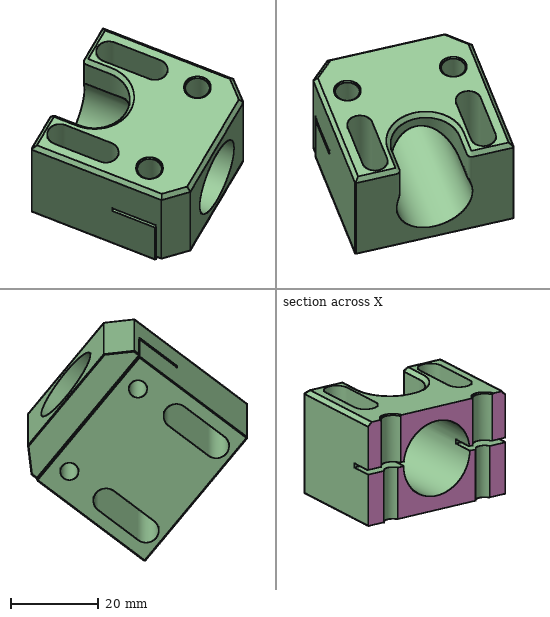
import cadquery as cq
import math

length = 38.15
width = 38.1
height = 25.4
half_width = width / 2
top_chamfer = 1.0
edge_break = 0.2

base_length = 31.7
cap_start = 20.65
cap_bottom = 1.3
corner_cut = 4.95
gap_height = 1.03
gap_floor = height / 2

bore_diameter = 18.2
opening_radius = bore_diameter / 2 - top_chamfer
opening_center_x = 7.0
entry_radius = top_chamfer + 0.05

slot_length = 17.55
slot_width = 5.88
slot_start = 1.5
slot_offset_y = 13.0

screw_x = 27.1
screw_offset_y = 12.7
clearance_diameter = 5.6
screw_diameter = 4.2
screw_chamfer = 0.3


def make_base():
    base = cq.Workplane("XY").box(base_length, width, height, centered=(False, True, False))
    return base.edges("|Z").chamfer(edge_break).faces("<Z").edges().chamfer(edge_break)


def make_outline(start_x, bottom):
    """Prism with two cut corners at the far end, reaching from start_x and bottom to the far top."""
    return (
        cq.Workplane("XY", origin=(0, 0, bottom))
        .moveTo(start_x, -half_width)
        .lineTo(length - corner_cut, -half_width)
        .lineTo(length, -half_width + corner_cut)
        .lineTo(length, half_width - corner_cut)
        .lineTo(length - corner_cut, half_width)
        .lineTo(start_x, half_width)
        .close()
        .extrude(height - bottom)
    )


def make_cap():
    cap = make_outline(cap_start, cap_bottom)
    below_gap = cq.Workplane("XY").box(base_length, width, gap_floor, centered=(False, True, False))
    return cap.faces("<Z").edges("not <X").chamfer(edge_break).cut(below_gap)


def make_opening():
    """U-shaped cutter whose mouth flares out tangent to the entry face."""
    mouth = opening_radius + entry_radius
    blend = entry_radius * (1 - math.sqrt(0.5))
    return (
        cq.Workplane("XY", origin=(0, 0, height / 2))
        .moveTo(0, -mouth)
        .threePointArc((blend, -opening_radius - blend), (entry_radius, -opening_radius))
        .lineTo(opening_center_x, -opening_radius)
        .threePointArc((opening_center_x + opening_radius, 0), (opening_center_x, opening_radius))
        .lineTo(entry_radius, opening_radius)
        .threePointArc((blend, opening_radius + blend), (0, mouth))
        .close()
        .extrude(height / 2)
    )


def cut_gap(part):
    gap = cq.Workplane("XY", origin=(cap_start, 0, gap_floor)).box(
        base_length - cap_start, width, gap_height, centered=(False, True, False)
    )
    return part.cut(gap)


def cut_bore(part):
    bore = cq.Workplane("YZ", origin=(0, 0, height / 2)).circle(bore_diameter / 2).extrude(length)
    return part.cut(bore)


def cut_slots(part):
    slots = (
        cq.Workplane("XY")
        .pushPoints([(slot_start + slot_length / 2, side * slot_offset_y) for side in (-1, 1)])
        .slot2D(slot_length, slot_width)
        .extrude(height)
    )
    return part.cut(slots)


def cut_screw_holes(part):
    """Clearance holes down to the gap, smaller holes on through the base."""
    centers = [(screw_x, side * screw_offset_y) for side in (-1, 1)]
    clearance = (
        cq.Workplane("XY", origin=(0, 0, gap_floor))
        .pushPoints(centers)
        .circle(clearance_diameter / 2)
        .extrude(height - gap_floor)
    )
    lower = cq.Workplane("XY").pushPoints(centers).circle(screw_diameter / 2).extrude(height)
    countersink = (
        cq.Workplane("XY", origin=(0, 0, height))
        .pushPoints(centers)
        .circle(clearance_diameter / 2 + screw_chamfer)
        .extrude(-screw_chamfer, taper=45)
    )
    return part.cut(clearance).cut(lower).cut(countersink)


body = make_outline(0, 0).cut(make_opening())
body = body.faces(">Z").edges().chamfer(top_chamfer)
body = body.intersect(make_base().union(make_cap()))
body = cut_gap(body)
body = cut_bore(body)
body = cut_slots(body)
result = cut_screw_holes(body)